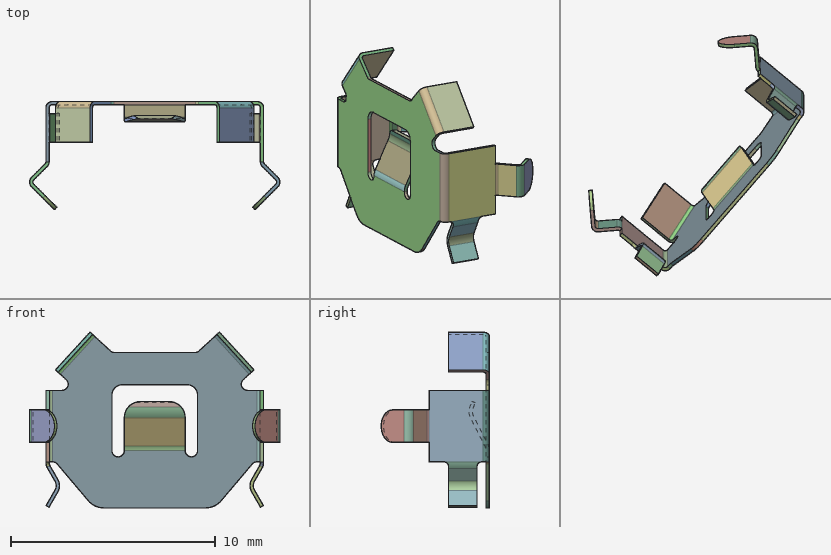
import cadquery as cq
import math

THICKNESS = 0.17
TIGHT_BEND = 0.15
TIGHT_OUTER = TIGHT_BEND + THICKNESS

WALL_OUTER_X = 5.32
WALL_HALF_HEIGHT = 1.75
WALL_DEPTH = 2.95
PLATE_EDGE_X = WALL_OUTER_X - TIGHT_OUTER
WALL_MID_X = WALL_OUTER_X - THICKNESS / 2

PLATE_BOTTOM_Z = -4.0
PLATE_TOP_Z = 3.6
BOTTOM_HALF_WIDTH = 2.945
SHOULDER_X = 4.85
BOTTOM_CORNER_RADIUS = 1.0
SHOULDER_RADIUS = 0.3
NOTCH_RADIUS = 0.3
TOP_CORNER_RADIUS = 0.2

FLANGE_ANGLE = 42.5
FLANGE_REACH = 5.43
FLANGE_LENGTH = 2.5
FLANGE_DEPTH = 2.0

WINDOW_HALF_WIDTH = 2.085
WINDOW_TOP_Z = 2.015
WINDOW_CORNER_RADIUS = 0.5
TONGUE_HALF_WIDTH = 1.49
TONGUE_ROOT_Z = -1.2
TONGUE_TOP_Z = 1.205
TONGUE_CORNER_RADIUS = 0.8
TONGUE_BEND = 0.5
TONGUE_LEAN = 27.0
TONGUE_TIP_LEAN = 20.0
TONGUE_STRAIGHT = 1.54

TAB_ANGLE = 45.0
TAB_HEIGHT = 1.6
TAB_OUTER_X = 6.115
TAB_TIP_DEPTH = 5.29

LEG_ANGLE = 30.0
LEG_BEND = 0.45
LEG_NEAR_DEPTH = 0.6
LEG_FAR_DEPTH = 2.0
LEG_ROOT_FILLET = 0.22
LEG_UPPER_STRAIGHT = 0.72
LEG_TIP_Z = -3.965

CLEARANCE = 1.0


def sin(degrees):
    return math.sin(math.radians(degrees))


def cos(degrees):
    return math.cos(math.radians(degrees))


def bent_strip(plane, start, heading, bend_radius, moves, width):
    """Sheet strip following its mid-line, extruded by width along the plane normal.

    moves is a list of ("line", length) and ("bend", signed angle) steps.
    """
    half = THICKNESS / 2
    mid_radius = bend_radius + half

    def side_point(x, y, direction, side):
        return (x - side * half * sin(direction), y + side * half * cos(direction))

    x, y = start
    stations = [(x, y, heading, None)]
    for kind, value in moves:
        if kind == "line":
            x += value * cos(heading)
            y += value * sin(heading)
            stations.append((x, y, heading, None))
            continue
        turn = math.copysign(1, value)
        centre_x = x - turn * mid_radius * sin(heading)
        centre_y = y + turn * mid_radius * cos(heading)
        bend = []
        for angle in (heading + value / 2, heading + value):
            bend_x = centre_x + turn * mid_radius * sin(angle)
            bend_y = centre_y - turn * mid_radius * cos(angle)
            bend.append((bend_x, bend_y, angle))
        x, y, heading = bend[1]
        stations.append((x, y, heading, bend[0]))

    outline = cq.Workplane(plane).moveTo(*side_point(*stations[0][:3], 1))
    for *station, middle in stations[1:]:
        end = side_point(*station, 1)
        if middle:
            outline = outline.threePointArc(side_point(*middle, 1), end)
        else:
            outline = outline.lineTo(*end)
    outline = outline.lineTo(*side_point(*stations[-1][:3], -1))
    for index in range(len(stations) - 1, 0, -1):
        middle = stations[index][3]
        end = side_point(*stations[index - 1][:3], -1)
        if middle:
            outline = outline.threePointArc(side_point(*middle, -1), end)
        else:
            outline = outline.lineTo(*end)
    return outline.close().extrude(width)


def xz_plane(y):
    """Plane at the given Y with local axes X, Z; its normal is -Y."""
    return cq.Plane(origin=(0, y, 0), xDir=(1, 0, 0), normal=(0, -1, 0))


def yz_plane(x):
    """Plane at the given X with local axes Y, Z; its normal is +X."""
    return cq.Plane(origin=(x, 0, 0), xDir=(0, 1, 0), normal=(1, 0, 0))


def xy_plane(z):
    return cq.Plane(origin=(0, 0, z))


def round_edges(body, corners, radius):
    """Round the edges along Y that pass through the given (x, z) corners."""
    for x, z in corners:
        edge = cq.selectors.NearestToPointSelector((x, -THICKNESS / 2, z))
        body = body.edges("|Y").edges(edge).fillet(radius)
    return body


def mirrored_pair(x, z):
    return [(x, z), (-x, z)]


def flange_point(reach, along):
    """(x, z) of a point in the right flange frame: outward reach, then along its length."""
    return (
        reach * cos(FLANGE_ANGLE) - along * sin(FLANGE_ANGLE),
        reach * sin(FLANGE_ANGLE) + along * cos(FLANGE_ANGLE),
    )


def make_plate():
    half_length = FLANGE_LENGTH / 2
    bend_start = FLANGE_REACH - TIGHT_OUTER
    notch_reach = (WALL_HALF_HEIGHT + half_length * cos(FLANGE_ANGLE)) / sin(FLANGE_ANGLE)
    top_reach = (PLATE_TOP_Z - half_length * cos(FLANGE_ANGLE)) / sin(FLANGE_ANGLE)
    bottom_corner = (BOTTOM_HALF_WIDTH, PLATE_BOTTOM_Z)
    shoulder = (SHOULDER_X, -WALL_HALF_HEIGHT)
    notch = flange_point(notch_reach, -half_length)
    top_corner = flange_point(top_reach, half_length)
    right_side = [
        bottom_corner,
        shoulder,
        (PLATE_EDGE_X, -WALL_HALF_HEIGHT),
        (PLATE_EDGE_X, WALL_HALF_HEIGHT),
        notch,
        flange_point(bend_start, -half_length),
        flange_point(bend_start, half_length),
        top_corner,
    ]
    left_side = [(-x, z) for x, z in reversed(right_side)]
    plate = cq.Workplane(xz_plane(0)).polyline(right_side + left_side).close().extrude(THICKNESS)
    plate = round_edges(plate, mirrored_pair(*bottom_corner), BOTTOM_CORNER_RADIUS)
    plate = round_edges(plate, mirrored_pair(*shoulder), SHOULDER_RADIUS)
    plate = round_edges(plate, mirrored_pair(*notch), NOTCH_RADIUS)
    return round_edges(plate, mirrored_pair(*top_corner), TOP_CORNER_RADIUS)


def make_window():
    """U-shaped opening around the tongue; both slots end in a full round."""
    slot_width = WINDOW_HALF_WIDTH - TONGUE_HALF_WIDTH
    slot_middle = (WINDOW_HALF_WIDTH + TONGUE_HALF_WIDTH) / 2
    opening = (
        cq.Workplane(xz_plane(0))
        .moveTo(-WINDOW_HALF_WIDTH, TONGUE_ROOT_Z)
        .lineTo(-WINDOW_HALF_WIDTH, WINDOW_TOP_Z)
        .lineTo(WINDOW_HALF_WIDTH, WINDOW_TOP_Z)
        .lineTo(WINDOW_HALF_WIDTH, TONGUE_ROOT_Z)
        .close()
        .extrude(THICKNESS)
    )
    opening = round_edges(opening, mirrored_pair(WINDOW_HALF_WIDTH, WINDOW_TOP_Z), WINDOW_CORNER_RADIUS)
    slot_ends = (
        cq.Workplane(xz_plane(0))
        .pushPoints(mirrored_pair(slot_middle, TONGUE_ROOT_Z))
        .circle(slot_width / 2)
        .extrude(THICKNESS)
    )
    return opening.union(slot_ends)


def make_tongue():
    mid_radius = TONGUE_BEND + THICKNESS / 2
    bends_rise = mid_radius * (2 * sin(TONGUE_LEAN) + sin(TONGUE_TIP_LEAN))
    end_face_rise = THICKNESS / 2 * sin(TONGUE_TIP_LEAN)
    tip_rise = (
        TONGUE_TOP_Z - TONGUE_ROOT_Z - bends_rise - end_face_rise - TONGUE_STRAIGHT * cos(TONGUE_LEAN)
    )
    moves = [
        ("bend", TONGUE_LEAN),
        ("line", TONGUE_STRAIGHT),
        ("bend", -TONGUE_LEAN - TONGUE_TIP_LEAN),
        ("line", tip_rise / cos(TONGUE_TIP_LEAN)),
    ]
    strip = bent_strip(
        yz_plane(-TONGUE_HALF_WIDTH),
        (-THICKNESS / 2, TONGUE_ROOT_Z),
        90,
        TONGUE_BEND,
        moves,
        2 * TONGUE_HALF_WIDTH,
    )
    rounded_outline = (
        cq.Workplane(xz_plane(CLEARANCE))
        .moveTo(0, (TONGUE_ROOT_Z + TONGUE_TOP_Z) / 2)
        .rect(2 * TONGUE_HALF_WIDTH, TONGUE_TOP_Z - TONGUE_ROOT_Z)
        .extrude(WALL_DEPTH + CLEARANCE)
        .edges("|Y and >Z")
        .fillet(TONGUE_CORNER_RADIUS)
    )
    return strip.intersect(rounded_outline)


def make_flange():
    """Right upper flange, built pointing along +X and turned into place about Y."""
    flange = bent_strip(
        xy_plane(-FLANGE_LENGTH / 2),
        (FLANGE_REACH - TIGHT_OUTER, -THICKNESS / 2),
        0,
        TIGHT_BEND,
        [("bend", -90), ("line", FLANGE_DEPTH - TIGHT_OUTER)],
        FLANGE_LENGTH,
    )
    return flange.rotate((0, 0, 0), (0, 1, 0), -FLANGE_ANGLE)


def make_wall():
    return bent_strip(
        xy_plane(-WALL_HALF_HEIGHT),
        (PLATE_EDGE_X, -THICKNESS / 2),
        0,
        TIGHT_BEND,
        [("bend", -90), ("line", WALL_DEPTH - TIGHT_OUTER)],
        2 * WALL_HALF_HEIGHT,
    )


def make_tab():
    """V-shaped spring tab with a fully rounded end, on the front edge of the right wall."""
    mid_radius = TIGHT_BEND + THICKNESS / 2
    bend_shift = mid_radius * (1 - cos(TAB_ANGLE))
    outward = (TAB_OUTER_X - WALL_OUTER_X - 2 * bend_shift) / sin(TAB_ANGLE)
    bends_depth = 3 * mid_radius * sin(TAB_ANGLE)
    end_face_depth = THICKNESS / 2 * sin(TAB_ANGLE)
    inward_depth = TAB_TIP_DEPTH - WALL_DEPTH - bends_depth - end_face_depth - outward * cos(TAB_ANGLE)
    inward = inward_depth / cos(TAB_ANGLE)
    moves = [("bend", TAB_ANGLE), ("line", outward), ("bend", -2 * TAB_ANGLE), ("line", inward)]
    strip = bent_strip(
        xy_plane(-TAB_HEIGHT / 2), (WALL_MID_X, -WALL_DEPTH), -90, TIGHT_BEND, moves, TAB_HEIGHT
    )

    tip_x = WALL_MID_X + bend_shift + (outward - inward) * sin(TAB_ANGLE)
    tip_y = -TAB_TIP_DEPTH + end_face_depth
    end_radius = TAB_HEIGHT / 2
    tip_plane = cq.Plane(
        origin=(tip_x, tip_y, 0),
        xDir=(-sin(TAB_ANGLE), -cos(TAB_ANGLE), 0),
        normal=(cos(TAB_ANGLE), -sin(TAB_ANGLE), 0),
    )
    tip_waste = (
        cq.Workplane(tip_plane)
        .moveTo(-end_radius, end_radius)
        .threePointArc((0, 0), (-end_radius, -end_radius))
        .lineTo(end_radius, -end_radius)
        .lineTo(end_radius, end_radius)
        .close()
        .extrude(THICKNESS, both=True)
    )
    return strip.cut(tip_waste)


def make_leg():
    """Kinked leg below the right wall, widening into the wall with root fillets."""
    mid_radius = LEG_BEND + THICKNESS / 2
    bends_drop = 3 * mid_radius * sin(LEG_ANGLE)
    end_face_drop = THICKNESS / 2 * sin(LEG_ANGLE)
    lower_drop = (
        -WALL_HALF_HEIGHT - LEG_TIP_Z - bends_drop - end_face_drop - LEG_UPPER_STRAIGHT * cos(LEG_ANGLE)
    )
    moves = [
        ("bend", -LEG_ANGLE),
        ("line", LEG_UPPER_STRAIGHT),
        ("bend", 2 * LEG_ANGLE),
        ("line", lower_drop / cos(LEG_ANGLE)),
    ]
    strip = bent_strip(
        xz_plane(-LEG_NEAR_DEPTH + LEG_ROOT_FILLET),
        (WALL_MID_X, -WALL_HALF_HEIGHT),
        -90,
        LEG_BEND,
        moves,
        LEG_FAR_DEPTH - LEG_NEAR_DEPTH + 2 * LEG_ROOT_FILLET,
    )
    fillet_end_z = -WALL_HALF_HEIGHT - LEG_ROOT_FILLET
    fillet_mid = LEG_ROOT_FILLET * (1 - cos(45))
    outline = (
        cq.Workplane(yz_plane(0))
        .moveTo(-LEG_NEAR_DEPTH + LEG_ROOT_FILLET, -WALL_HALF_HEIGHT)
        .threePointArc(
            (-LEG_NEAR_DEPTH + fillet_mid, -WALL_HALF_HEIGHT - fillet_mid),
            (-LEG_NEAR_DEPTH, fillet_end_z),
        )
        .lineTo(-LEG_NEAR_DEPTH, LEG_TIP_Z - CLEARANCE)
        .lineTo(-LEG_FAR_DEPTH, LEG_TIP_Z - CLEARANCE)
        .lineTo(-LEG_FAR_DEPTH, fillet_end_z)
        .threePointArc(
            (-LEG_FAR_DEPTH - fillet_mid, -WALL_HALF_HEIGHT - fillet_mid),
            (-LEG_FAR_DEPTH - LEG_ROOT_FILLET, -WALL_HALF_HEIGHT),
        )
        .close()
        .extrude(WALL_OUTER_X + CLEARANCE)
    )
    return strip.intersect(outline)


result = make_plate().cut(make_window()).union(make_tongue())
for right_part in (make_flange(), make_wall(), make_tab(), make_leg()):
    result = result.union(right_part).union(right_part.mirror("YZ"))